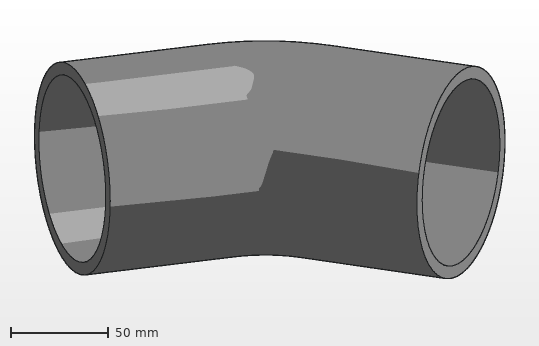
import cadquery as cq
import math

outer_diameter = 110.0
bore_diameter = 97.0
bend_radius = 63.0
bend_angle = 45.0
overall_length = 223.3

angle = math.radians(bend_angle)
outer_bend_radius = bend_radius + outer_diameter / 2
end_length = (overall_length - outer_bend_radius * math.sin(angle)) / (1 + math.cos(angle))


def pipe_section(plane):
    """Ring-shaped pipe cross-section centred on the plane."""
    return cq.Workplane(plane).circle(outer_diameter / 2).circle(bore_diameter / 2)


bend_start = cq.Plane(origin=(0, 0, 0), xDir=(1, 0, 0), normal=(0, 1, 0))
bend_end = cq.Plane(
    origin=(bend_radius * (1 - math.cos(angle)), bend_radius * math.sin(angle), 0),
    xDir=(math.cos(angle), -math.sin(angle), 0),
    normal=(math.sin(angle), math.cos(angle), 0),
)

inlet_end = pipe_section(bend_start).extrude(-end_length)
bend = pipe_section(bend_start).revolve(bend_angle, (bend_radius, 0), (bend_radius, 1))
outlet_end = pipe_section(bend_end).extrude(end_length)

result = inlet_end.union(bend).union(outlet_end)